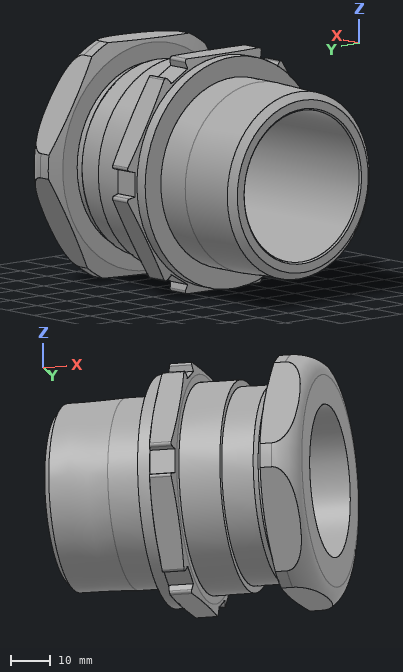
import cadquery as cq
import math


total_length = 68.3
hex_sides = 6
hex_apothem = 30.0
hex_corner_distance = hex_apothem / math.cos(math.pi / hex_sides)
bore_radius = 19.3
mouth_chamfer = 0.4

nose_chamfer_end = 1.65
taper_end = 17.1
flange_start = 26.3
collar_start = 29.45
collar_end = 36.35
shoulder_end = 47.0
shank_end = 55.2
shank_chamfer_end = 56.2
nut_start = 58.05

nose_radius = 22.0
taper_small_radius = 23.9
entry_radius = 24.3
flange_radius = 29.6
shoulder_radius = 26.9
shank_radius = 25.15
neck_radius = 24.2

collar_face_radius = 28.95
collar_chamfer_depth = 1.0
notch_floor_distance = hex_apothem
notch_floor_width = 6.2
notch_wall_angle = 13.0
notch_edge_fillet = 0.7

nut_corner_radius = 33.0
nut_face_radius = 29.0
nut_chamfer_depth = 1.0
nut_dome_radius = 6.2
nut_turn = 1.6


def revolve_about_x(profile):
    return profile.close().revolve(360, (0, 0, 0), (1, 0, 0))


def hexagon_prism(start, end):
    """Hexagon along X with corners on +Y and -Y, so two flats face up and down."""
    base = cq.Workplane("YZ").workplane(offset=start)
    return base.polygon(hex_sides, 2 * hex_corner_distance).extrude(end - start)


def make_body():
    profile = (
        cq.Workplane("XY")
        .lineTo(0, nose_radius)
        .lineTo(nose_chamfer_end, taper_small_radius)
        .lineTo(taper_end, entry_radius)
        .lineTo(flange_start, entry_radius)
        .lineTo(flange_start, flange_radius)
        .lineTo(collar_start, flange_radius)
        .lineTo(collar_start, shoulder_radius)
        .lineTo(shoulder_end, shoulder_radius)
        .lineTo(shoulder_end, shank_radius)
        .lineTo(shank_end, shank_radius)
        .lineTo(shank_chamfer_end, neck_radius)
        .lineTo(nut_start, neck_radius)
        .lineTo(nut_start, 0)
    )
    return revolve_about_x(profile)


def make_collar_notch():
    """Flared cutter for the notch in the +Y corner."""
    floor_half = notch_floor_width / 2
    flare = (hex_corner_distance - notch_floor_distance) * math.tan(math.radians(notch_wall_angle))
    return (
        cq.Workplane("YZ")
        .workplane(offset=collar_start)
        .moveTo(notch_floor_distance, -floor_half)
        .lineTo(hex_corner_distance, -floor_half - flare)
        .lineTo(hex_corner_distance, floor_half + flare)
        .lineTo(notch_floor_distance, floor_half)
        .close()
        .extrude(collar_end - collar_start)
    )


def make_collar():
    collar = hexagon_prism(collar_start, collar_end)
    notch = make_collar_notch()
    for corner in range(hex_sides):
        collar = collar.cut(notch.rotate((0, 0, 0), (1, 0, 0), 360 / hex_sides * corner))

    rounding_limit = (notch_floor_distance + hex_corner_distance) / 2
    outer_edges = [
        edge
        for edge in collar.edges("|X").vals()
        if math.hypot(edge.Center().y, edge.Center().z) > rounding_limit
    ]
    collar = collar.newObject(outer_edges).fillet(notch_edge_fillet)

    envelope = revolve_about_x(
        cq.Workplane("XY")
        .moveTo(collar_start, 0)
        .lineTo(collar_start, collar_face_radius)
        .lineTo(collar_start + collar_chamfer_depth, hex_corner_distance)
        .lineTo(collar_end - collar_chamfer_depth, hex_corner_distance)
        .lineTo(collar_end, collar_face_radius)
        .lineTo(collar_end, 0)
    )
    return collar.intersect(envelope)


def make_nut():
    dome_start = total_length - nut_dome_radius
    envelope = revolve_about_x(
        cq.Workplane("XY")
        .moveTo(nut_start, 0)
        .lineTo(nut_start, nut_face_radius)
        .lineTo(nut_start + nut_chamfer_depth, nut_corner_radius)
        .lineTo(dome_start, nut_corner_radius)
        .radiusArc((total_length, nut_corner_radius - nut_dome_radius), nut_dome_radius)
        .lineTo(total_length, 0)
    )
    nut = hexagon_prism(nut_start, total_length).intersect(envelope)
    return nut.rotate((0, 0, 0), (1, 0, 0), nut_turn)


def make_bore():
    return revolve_about_x(
        cq.Workplane("XY")
        .lineTo(0, bore_radius + mouth_chamfer)
        .lineTo(mouth_chamfer, bore_radius)
        .lineTo(total_length, bore_radius)
        .lineTo(total_length, 0)
    )


result = make_body().union(make_collar()).union(make_nut()).cut(make_bore())